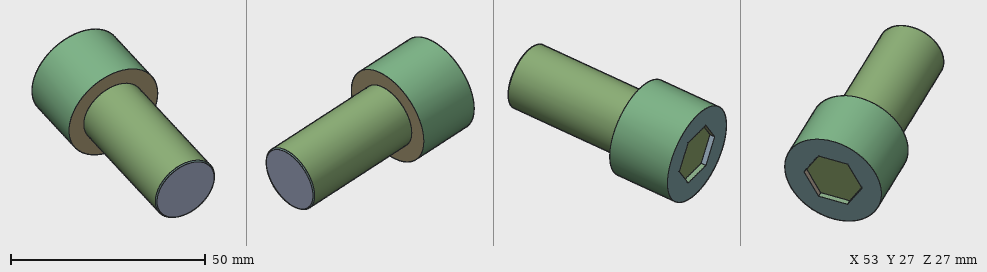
import cadquery as cq
import math

total_length = 53.0
head_diameter = 27.0
shank_diameter = 18.0
head_height = shank_diameter
shank_length = total_length - head_height
tip_chamfer = 0.3
socket_across_flats = 14.0
socket_depth = 1.5

socket_across_corners = socket_across_flats / math.cos(math.pi / 6)


def make_head():
    return cq.Workplane("YZ").circle(head_diameter / 2).extrude(-head_height)


def make_shank():
    shank = cq.Workplane("YZ").circle(shank_diameter / 2).extrude(shank_length)
    return shank.faces(">X").chamfer(tip_chamfer)


def make_socket():
    end_face = cq.Workplane("YZ").workplane(offset=-head_height)
    return end_face.polygon(6, socket_across_corners).extrude(socket_depth)


result = make_head().union(make_shank()).cut(make_socket())